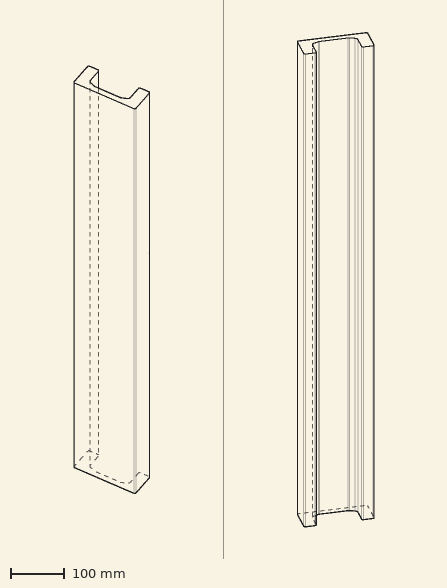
import cadquery as cq

length = 1000.0
width = 135.0
depth = 53.0
web_thickness = 12.0
flange_thickness = 24.0
edge_radius = 3.0

root_rise = 6.0
root_run = 15.0
root_radius = 6.0

half_opening = width / 2 - flange_thickness
web_face = web_thickness - depth / 2
flange_tip = depth / 2


def make_bar():
    """Solid bar centred on the origin, running along Z."""
    return cq.Workplane("XY").box(width, depth, length)


def make_opening():
    """Full-length opening on the +Y side, with sloped and rounded roots."""
    opening = (
        cq.Workplane("XY")
        .moveTo(-half_opening, flange_tip)
        .lineTo(-half_opening, web_face + root_rise)
        .lineTo(-half_opening + root_run, web_face)
        .lineTo(half_opening - root_run, web_face)
        .lineTo(half_opening, web_face + root_rise)
        .lineTo(half_opening, flange_tip)
        .close()
        .extrude(length / 2, both=True)
    )
    return opening.edges("|Z and (not >Y)").fillet(root_radius)


channel = make_bar().cut(make_opening())

result = channel.edges("|Z and (<Y or >Y)").fillet(edge_radius)